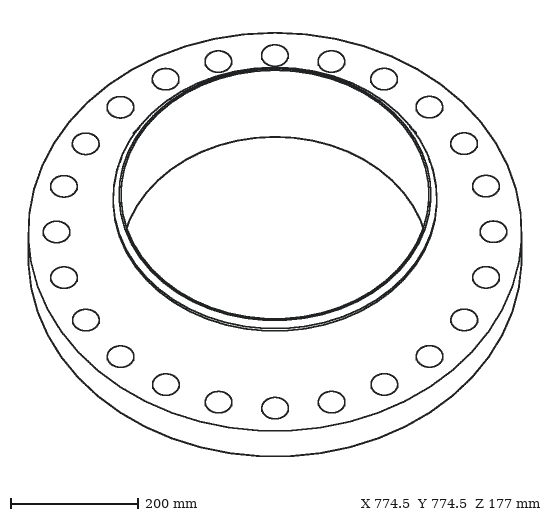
import cadquery as cq

flange_diameter = 774.5
flange_thickness = 68.0
raised_face_diameter = 635.0
raised_face_height = 10.0

overall_height = 177.0
hub_base_diameter = 587.0
hub_base_fillet = 5.0
neck_diameter = 508.0
neck_height = 6.0
bevel_height = 9.0
weld_land_diameter = 489.5
bore_diameter = 483.0

bolt_count = 24
bolt_circle_diameter = 685.5
bolt_hole_diameter = 42.0

flange_bottom = raised_face_height
flange_top = flange_bottom + flange_thickness
bevel_bottom = overall_height - bevel_height
cone_top = bevel_bottom - neck_height


def disc(diameter, bottom, top):
    """Upright cylinder centred on the flange axis."""
    return cq.Workplane("XY").workplane(offset=bottom).circle(diameter / 2).extrude(top - bottom)


def flange_plate():
    """Flange plate with its raised face."""
    raised_face = disc(raised_face_diameter, 0, flange_bottom)
    return disc(flange_diameter, flange_bottom, flange_top).union(raised_face)


def weld_neck():
    """Tapered hub, short straight neck and weld bevel, revolved about Z."""
    return (
        cq.Workplane("XZ")
        .moveTo(0, flange_top)
        .lineTo(hub_base_diameter / 2, flange_top)
        .lineTo(neck_diameter / 2, cone_top)
        .lineTo(neck_diameter / 2, bevel_bottom)
        .lineTo(weld_land_diameter / 2, overall_height)
        .lineTo(0, overall_height)
        .close()
        .revolve(360, (0, 0, 0), (0, 1, 0))
    )


def round_hub_base(solid):
    """Fillet the inner edge of the flange's top face, where the hub meets the plate."""
    flange_top_face = solid.faces("%PLANE").faces(">Z[-2]")
    hub_base_edge = flange_top_face.edges(cq.selectors.RadiusNthSelector(0))
    return hub_base_edge.fillet(hub_base_fillet)


def bolt_holes():
    """Ring of through holes, the first one on the +X axis."""
    return (
        cq.Workplane("XY")
        .workplane(offset=flange_bottom)
        .polarArray(bolt_circle_diameter / 2, 0, 360, bolt_count)
        .circle(bolt_hole_diameter / 2)
        .extrude(flange_thickness)
    )


solid_flange = round_hub_base(flange_plate().union(weld_neck()))
bored_flange = solid_flange.cut(disc(bore_diameter, 0, overall_height))
result = bored_flange.cut(bolt_holes())